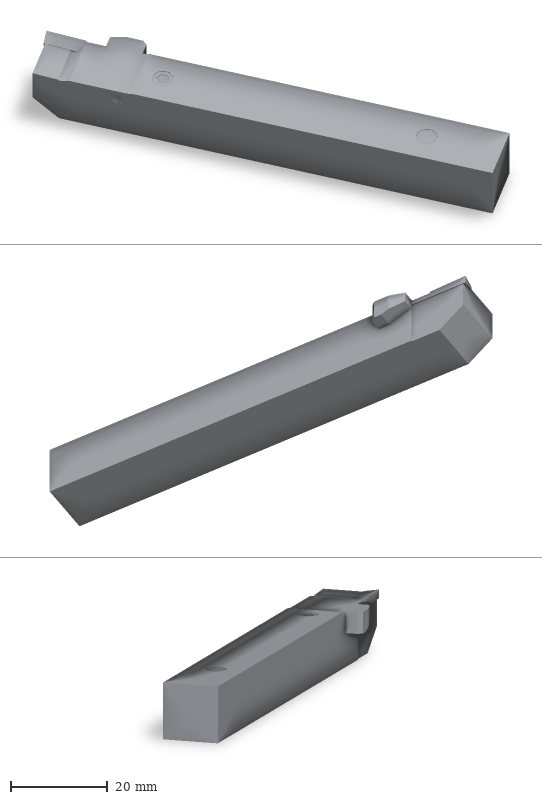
import cadquery as cq
import math

shank_width = 12.0
shank_height = 12.0
tip_to_tail = 100.0
nose_x = 0.7
nose_chamfer_x = 6.4
nose_chamfer_z = 4.5

head_top_z = 11.75
head_end_x = 20.8
ramp_end_x = 22.6
head_side_y = 11.75
head_side_end_x = 13.0

pocket_front_z = 11.65
pocket_rear_z = 11.4
pocket_step_x = 6.15
rise_start_x = 6.4
rise_start_z = 11.2
pocket_end_x = 8.7

lug_outer_y = 15.5
lug_corner_y = 14.5
lug_slant_end_x = 16.4
lug_bottom_z = 7.2
lug_front_bottom_z = 9.3
lug_bevel_run = 5.2
lug_rear_chamfer = 0.9

insert_inner_y = 8.8
insert_tip_z = 12.2
insert_top_drop = 0.35
insert_under_clamp_z = 11.4
insert_inner_top_z = 11.72
insert_inner_bottom_z = 11.05
insert_outer_bottom_z = 10.3
insert_front_setback = 0.4

screw_recess_depth = 0.1
socket_depth = 0.2
socket_sides = 6
top_screw_radius = 2.25
top_screw_y = shank_width / 2
front_screw_x = 27.0
rear_screw_x = 84.0
top_socket_size = 2.5
side_screw_radius = 1.3
side_screw_x = 18.95
side_screw_z = 9.75
side_socket_size = 1.5


def rise_midpoint(start, end):
    """Middle of the concave arc that leaves start horizontally and climbs to end."""
    run = end[0] - start[0]
    climb = end[1] - start[1]
    radius = (run**2 + climb**2) / (2 * climb)
    half_angle = math.asin(run / radius) / 2
    return (
        start[0] + radius * math.sin(half_angle),
        start[1] + radius * (1 - math.cos(half_angle)),
    )


def make_shank():
    """Side profile of the whole holder, extruded across its width."""
    head_end = (head_end_x, head_top_z)
    ramp_end = (ramp_end_x, shank_height)
    rise_start = (rise_start_x, rise_start_z)
    rise_end = (pocket_end_x, head_top_z)
    return (
        cq.Workplane("XZ")
        .moveTo(nose_x, nose_chamfer_z)
        .lineTo(nose_chamfer_x, 0)
        .lineTo(tip_to_tail, 0)
        .lineTo(tip_to_tail, shank_height)
        .lineTo(*ramp_end)
        .threePointArc(rise_midpoint(head_end, ramp_end), head_end)
        .lineTo(*rise_end)
        .threePointArc(rise_midpoint(rise_start, rise_end), rise_start)
        .lineTo(pocket_step_x, pocket_rear_z)
        .lineTo(nose_x, pocket_front_z)
        .close()
        .extrude(-shank_width)
    )


def cut_head_side(body):
    """Set the +Y side of the nose slightly inward, ahead of the lug."""
    relief = cq.Workplane("XY").box(
        head_side_end_x, shank_width - head_side_y, shank_height, centered=False
    )
    return body.cut(relief.translate((0, head_side_y, 0)))


def make_lug():
    """Lug on the +Y side, with a slanted front corner and a bevelled underside."""
    lug = (
        cq.Workplane("XY")
        .workplane(offset=lug_bottom_z)
        .moveTo(head_side_end_x, head_side_y)
        .lineTo(head_side_end_x, lug_corner_y)
        .lineTo(lug_slant_end_x, lug_outer_y)
        .lineTo(head_end_x - lug_rear_chamfer, lug_outer_y)
        .lineTo(head_end_x, lug_outer_y - lug_rear_chamfer)
        .lineTo(head_end_x, head_side_y)
        .close()
        .extrude(head_top_z - lug_bottom_z)
    )
    bevel = (
        cq.Workplane("XZ")
        .moveTo(head_side_end_x, lug_bottom_z)
        .lineTo(head_side_end_x, lug_front_bottom_z)
        .lineTo(head_side_end_x + lug_bevel_run, lug_bottom_z)
        .close()
        .extrude(-lug_outer_y)
    )
    return lug.cut(bevel)


def insert_section(x, drop):
    """Cross-section of the insert at x, its top sloping down toward -Y and lowered by drop."""
    return cq.Wire.makePolygon(
        [
            cq.Vector(x, shank_width, insert_tip_z - drop),
            cq.Vector(x, insert_inner_y, insert_inner_top_z - drop),
            cq.Vector(x, insert_inner_y, insert_inner_bottom_z),
            cq.Vector(x, shank_width, insert_outer_bottom_z),
        ],
        close=True,
    )


def make_insert():
    """Insert with an angled front edge and a tail held under the clamping head."""
    sections = [
        insert_section(0, 0),
        insert_section(pocket_end_x, insert_top_drop),
    ]
    blank = cq.Workplane(cq.Solid.makeLoft(sections, ruled=True))
    tail = cq.Workplane("XY").box(
        head_side_end_x - pocket_end_x,
        shank_width - insert_inner_y,
        insert_under_clamp_z - insert_outer_bottom_z,
        centered=False,
    )
    tail = tail.translate((pocket_end_x, insert_inner_y, insert_outer_bottom_z))
    front_wedge = (
        cq.Workplane("XY")
        .moveTo(0, shank_width)
        .lineTo(0, insert_inner_y)
        .lineTo(insert_front_setback, insert_inner_y)
        .close()
        .extrude(insert_tip_z)
    )
    return blank.cut(front_wedge).union(tail)


def across_corners(across_flats):
    """Corner-to-corner size of a hexagon socket."""
    return across_flats / math.cos(math.pi / socket_sides)


def top_screw_recess(x):
    """Shallow round recess in the top of the shank."""
    return (
        cq.Workplane("XY")
        .workplane(offset=shank_height - screw_recess_depth)
        .center(x, top_screw_y)
        .circle(top_screw_radius)
        .extrude(screw_recess_depth)
    )


def top_socket(x):
    """Hexagon socket in the top of the shank."""
    return (
        cq.Workplane("XY")
        .workplane(offset=shank_height - socket_depth)
        .center(x, top_screw_y)
        .polygon(socket_sides, across_corners(top_socket_size))
        .extrude(socket_depth)
    )


def cut_side_screw(body):
    """Round recess with a hexagon socket in the -Y face."""
    face = cq.Workplane("XZ").center(side_screw_x, side_screw_z)
    recess = face.circle(side_screw_radius).extrude(-screw_recess_depth)
    socket = face.polygon(socket_sides, across_corners(side_socket_size)).extrude(-socket_depth)
    return body.cut(recess).cut(socket)


holder = cut_head_side(make_shank())
holder = holder.union(make_lug()).union(make_insert())
for screw_x in (front_screw_x, rear_screw_x):
    holder = holder.cut(top_screw_recess(screw_x))
holder = holder.cut(top_socket(front_screw_x))
result = cut_side_screw(holder)